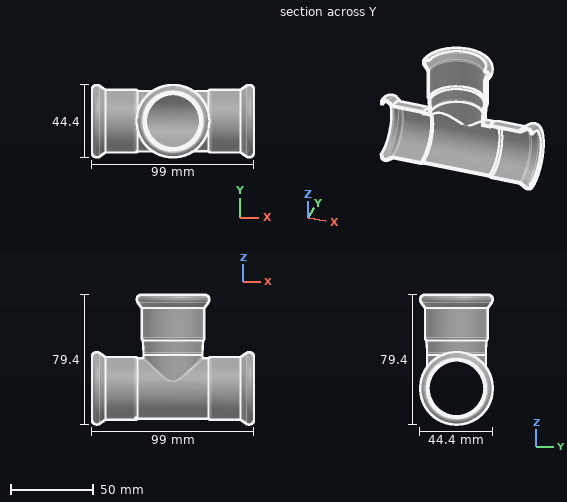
import cadquery as cq
import math

RUN_LENGTH = 99.0
BRANCH_TOP = 57.2
WALL = 1.53

SOCKET_RADIUS = 19.2
RUN_RADIUS = 18.5
NECK_RADIUS = 18.0

RIM_RADIUS = 19.1
LIP_RADIUS = 17.97
LIP_FILLET = 0.54
BEAD_RADIUS = 3.1
FLARE_ANGLE = math.radians(35)

STEP_START = 26.3
STEP_END = 27.9

TAPER_END_Z = 21.9
JOINT_Z = 20.5
SADDLE_FILLET = 0.8

RUN_BORE = RUN_RADIUS - WALL
NECK_BORE = NECK_RADIUS - WALL


def bead_point(arc_radius, angle):
    """(radius, depth) on an arc about the bead centre, at an angle measured inward from the radial direction."""
    radius = RIM_RADIUS + arc_radius * math.cos(angle)
    depth = BEAD_RADIUS + arc_radius * math.sin(angle)
    return radius, depth


def beaded_tube(tail):
    """Thin-walled tube revolved about Y, with its beaded mouth at Y = 0.

    The tail lists the (outer radius, depth) points that follow the socket step.
    """
    groove_radius = BEAD_RADIUS - WALL
    bore = SOCKET_RADIUS - WALL
    arc_middle = (FLARE_ANGLE - math.pi / 2) / 2

    flare_start = bead_point(BEAD_RADIUS, FLARE_ANGLE)
    flare_depth = flare_start[1] + (flare_start[0] - SOCKET_RADIUS) / math.tan(FLARE_ANGLE)

    def inner_round(angle):
        return SOCKET_RADIUS - WALL * math.cos(angle), flare_depth - WALL * math.sin(angle)

    profile = (
        cq.Workplane("XY")
        .moveTo(LIP_RADIUS, LIP_FILLET)
        .radiusArc((LIP_RADIUS + LIP_FILLET, 0), -LIP_FILLET)
        .lineTo(RIM_RADIUS, 0)
        .threePointArc(bead_point(BEAD_RADIUS, arc_middle), flare_start)
        .lineTo(SOCKET_RADIUS, flare_depth)
        .lineTo(SOCKET_RADIUS, STEP_START)
        .tangentArcPoint((RUN_RADIUS, STEP_END), relative=False)
    )
    for radius, depth in tail:
        profile = profile.lineTo(radius, depth)
    for radius, depth in reversed(tail):
        profile = profile.lineTo(radius - WALL, depth)
    profile = (
        profile.lineTo(RUN_BORE, STEP_END)
        .lineTo(bore, STEP_START)
        .lineTo(bore, flare_depth)
        .threePointArc(inner_round(FLARE_ANGLE / 2), inner_round(FLARE_ANGLE))
        .lineTo(*bead_point(groove_radius, FLARE_ANGLE))
        .threePointArc(bead_point(groove_radius, arc_middle), (RIM_RADIUS, WALL))
        .lineTo(LIP_RADIUS + LIP_FILLET, WALL)
        .radiusArc((LIP_RADIUS, WALL - LIP_FILLET), -LIP_FILLET)
        .close()
    )
    return profile.revolve(360, (0, 0, 0), (0, 1, 0))


def make_saddle():
    """Middle of the run with the short branch neck, filleted where they meet and bored through."""
    length = RUN_LENGTH - 2 * STEP_END
    barrel = cq.Workplane("YZ").circle(RUN_RADIUS).extrude(length / 2, both=True)
    neck = cq.Workplane("XY").circle(NECK_RADIUS).extrude(JOINT_Z)
    seam = cq.selectors.BoxSelector(
        (-NECK_RADIUS, -RUN_RADIUS, 1), (NECK_RADIUS, RUN_RADIUS, RUN_RADIUS), boundingbox=False
    )
    saddle = barrel.union(neck).edges(seam).fillet(SADDLE_FILLET)
    run_bore = cq.Workplane("YZ").circle(RUN_BORE).extrude(length / 2, both=True)
    neck_bore = cq.Workplane("XY").circle(NECK_BORE).extrude(JOINT_Z)
    return saddle.cut(run_bore).cut(neck_bore)


def make_tee():
    """Run with a beaded socket at each end and the branch neck on top."""
    tee = make_saddle()
    for side in (-1, 1):
        end = beaded_tube([]).rotate((0, 0, 0), (0, 0, 1), 90 * side)
        tee = tee.union(end.translate((side * RUN_LENGTH / 2, 0, 0)))
    return tee


def make_branch():
    """Beaded socket that tapers to the neck and stands on its rim."""
    tail = [(NECK_RADIUS, BRANCH_TOP - TAPER_END_Z), (NECK_RADIUS, BRANCH_TOP - JOINT_Z)]
    tube = beaded_tube(tail).rotate((0, 0, 0), (1, 0, 0), -90)
    return tube.translate((0, 0, BRANCH_TOP))


tee = make_tee()
branch = make_branch()

result = cq.Compound.makeCompound([tee.val(), branch.val()])